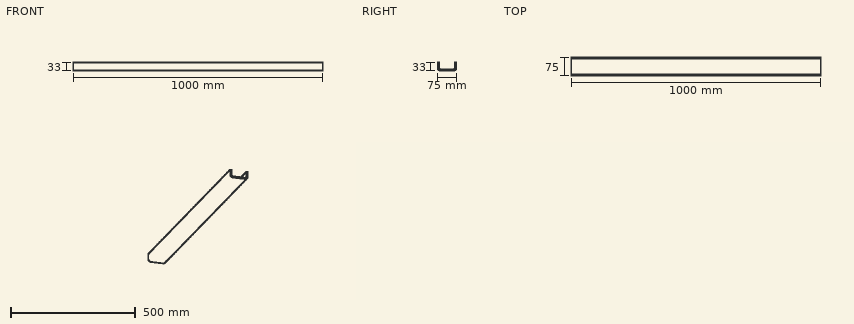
import cadquery as cq

length = 1000.0
width = 75.0
height = 33.0
thickness = 6.0
outer_bend_radius = 12.0
inner_bend_radius = outer_bend_radius - thickness


def rounded_bar(bar_width, bottom, bend_radius):
    """Full-length bar from bottom to the channel top, with rounded lower edges."""
    return (
        cq.Workplane("XY")
        .box(length, bar_width, height - bottom, centered=(True, True, False))
        .translate((0, 0, bottom))
        .edges("|X and <Z")
        .fillet(bend_radius)
    )


outer_body = rounded_bar(width, 0, outer_bend_radius)
inner_space = rounded_bar(width - 2 * thickness, thickness, inner_bend_radius)

result = outer_body.cut(inner_space)